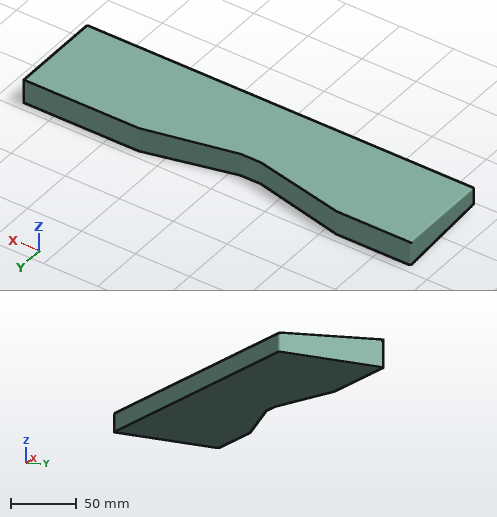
import cadquery as cq

length = 359.0
depth = 85.0
back_height = 22.0
front_height = 15.0
edge_radius = 1.8

recess_start = 68.5
recess_floor_start = 150.8
recess_floor_end = 169.5
recess_end = 251.5
recess_depth = 17.5


def wedge():
    """Bar with a level top and an underside that drops towards the back."""
    side_profile = [
        (0, back_height - front_height),
        (depth, 0),
        (depth, back_height),
        (0, back_height),
    ]
    return cq.Workplane("YZ").polyline(side_profile).close().extrude(length)


def round_front_and_ends(body):
    """Round the front upright corners and the top edge running round the front and both ends."""
    body = body.edges("|Z and <Y").fillet(edge_radius)
    return body.faces(">Z").edges("<Y").fillet(edge_radius)


def back_corner_envelope():
    """Upright block that rounds the back corners and leaves the back top edge sharp."""
    block = cq.Workplane("XY").box(length, depth, back_height, centered=False)
    return block.edges("|Z and >Y").fillet(edge_radius)


def back_recess():
    """Cutter for the shallow trapezoidal recess through the back edge."""
    floor_y = depth - recess_depth
    outline = [
        (recess_start, depth),
        (recess_floor_start, floor_y),
        (recess_floor_end, floor_y),
        (recess_end, depth),
    ]
    return cq.Workplane("XY").polyline(outline).close().extrude(back_height)


bar = round_front_and_ends(wedge()).intersect(back_corner_envelope())
result = bar.cut(back_recess())